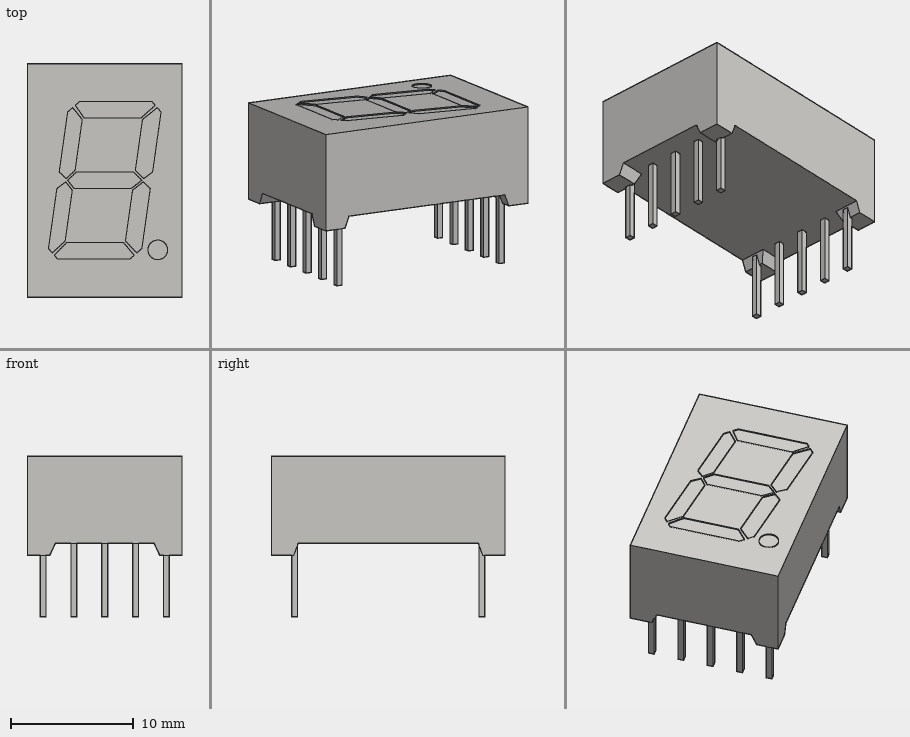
import cadquery as cq
import math

body_width = 12.6
body_length = 19.0
body_height = 8.08
total_height = 13.1

relief_depth = 0.97
relief_bottom_half_x = 4.46
relief_bottom_half_y = 7.7
relief_flank_x = 0.45
relief_flank_y = 0.38

pins_per_row = 5
pin_pitch = 2.5
pin_row_y = 7.62
pin_side = 0.5
pin_embed = 1.9

recess_depth = 0.1
slant = math.tan(math.radians(8.0))
digit_center_y = 0.02
digit_half_height = 6.42
digit_half_width = 3.8
bar_height = 1.35
left_inner_half = 2.53
right_inner_half = 2.38
corner_cut = 0.87
half_gap = 0.13
middle_node_x = 3.15
corner_node_x = 3.35
point_diameter = 1.6
point_x = 4.31
point_y = -5.65

bar_inner_y = digit_half_height - bar_height
half_bar = bar_height / 2
corner_node_y = digit_half_height + digit_half_width - corner_cut - corner_node_x
half_node_gap = half_gap / math.sqrt(2)


def make_relief(plane, bottom_half, flank, through_length):
    """Trapezoidal channel cut through the underside, perpendicular to the plane."""
    top_half = bottom_half - flank
    floor = -body_height
    return (
        cq.Workplane(plane)
        .polyline([
            (-bottom_half, floor),
            (bottom_half, floor),
            (top_half, floor + relief_depth),
            (-top_half, floor + relief_depth),
        ])
        .close()
        .extrude(through_length / 2, both=True)
    )


def make_housing():
    block = cq.Workplane("XY").box(body_width, body_length, body_height, centered=(True, True, False))
    block = block.translate((0, 0, -body_height))
    block = block.cut(make_relief("XZ", relief_bottom_half_x, relief_flank_x, body_length))
    return block.cut(make_relief("YZ", relief_bottom_half_y, relief_flank_y, body_width))


def make_pins():
    pin_length = total_height - body_height + pin_embed
    return (
        cq.Workplane("XY", origin=(0, 0, -total_height))
        .rarray(pin_pitch, 2 * pin_row_y, pins_per_row, 2)
        .rect(pin_side, pin_side)
        .extrude(pin_length)
    )


def make_segment(points):
    """Recess for one segment; its upright outline is sheared to the digit's slant."""
    slanted = [(x + slant * y, y + digit_center_y) for x, y in points]
    return cq.Workplane("XY").polyline(slanted).close().extrude(-recess_depth)


def bar_end_outline(side, inner_half):
    """Top bar end on one side (-1 left, 1 right), from outer to inner edge."""
    return [
        (side * (digit_half_width - corner_cut), digit_half_height),
        (side * (corner_node_x - half_node_gap), corner_node_y + half_node_gap),
        (side * (inner_half - half_gap), bar_inner_y),
    ]


def middle_end_outline(side, inner_half):
    """Pointed end of the middle bar on one side, from upper to lower edge."""
    return [
        (side * (inner_half - half_gap), half_bar),
        (side * (middle_node_x - half_gap), 0),
        (side * (inner_half - half_gap), -half_bar),
    ]


def upright_outline(side, inner_half):
    """Upper upright segment on one side."""
    return [
        (side * digit_half_width, digit_half_height - corner_cut),
        (side * (corner_node_x + half_node_gap), corner_node_y - half_node_gap),
        (side * inner_half, bar_inner_y - half_gap),
        (side * inner_half, half_bar + half_gap),
        (side * middle_node_x, half_gap),
        (side * digit_half_width, half_bar),
    ]


def flip(points):
    """Mirror an upright outline into the lower half of the digit."""
    return [(x, -y) for x, y in points]


def make_display_recesses():
    left = (-1, left_inner_half)
    right = (1, right_inner_half)
    top_bar = bar_end_outline(*left) + bar_end_outline(*right)[::-1]
    middle_bar = middle_end_outline(*left) + middle_end_outline(*right)[::-1]
    upper_outlines = [top_bar, upright_outline(*left), upright_outline(*right)]
    lower_outlines = [flip(outline) for outline in upper_outlines]

    point = cq.Workplane("XY").center(point_x, point_y).circle(point_diameter / 2)
    recesses = point.extrude(-recess_depth)
    for outline in upper_outlines + [middle_bar] + lower_outlines:
        recesses = recesses.add(make_segment(outline))
    return recesses.combine()


result = make_housing().union(make_pins()).cut(make_display_recesses())